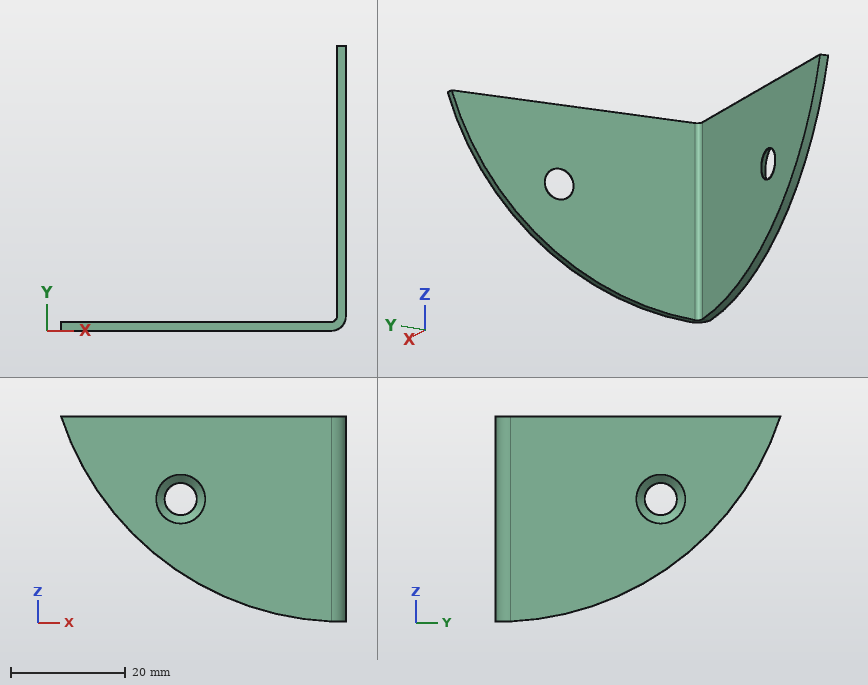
import cadquery as cq

leg_length = 50.0
height = 36.0
thickness = 1.6
inner_bend_radius = 1.0
outer_bend_radius = inner_bend_radius + thickness
edge_radius = 52.25

hole_from_corner = 29.0
hole_below_top = 14.5
hole_diameter = 5.6
countersink_diameter = 8.6
countersink_angle = 90.0


def make_leg():
    """Flat leg along -X with its outer face on Y = 0 and a countersunk hole."""
    leg = (
        cq.Workplane("XZ")
        .moveTo(-leg_length, 0)
        .lineTo(-outer_bend_radius, 0)
        .lineTo(-outer_bend_radius, -height)
        .radiusArc((-leg_length, 0), edge_radius)
        .close()
        .extrude(-thickness)
    )
    return (
        leg.faces("<Y")
        .workplane(origin=(-hole_from_corner, 0, -hole_below_top))
        .cskHole(hole_diameter, countersink_diameter, countersink_angle)
    )


def make_bend():
    """Full-height quarter tube that joins the two legs."""
    tube = (
        cq.Workplane("XY")
        .center(-outer_bend_radius, outer_bend_radius)
        .circle(outer_bend_radius)
        .circle(inner_bend_radius)
        .extrude(-height)
    )
    corner = cq.Workplane("XY").box(
        outer_bend_radius, outer_bend_radius, height, centered=False
    ).translate((-outer_bend_radius, 0, -height))
    return tube.intersect(corner)


front_leg = make_leg()

side_leg = front_leg.mirror("YZ").rotate((0, 0, 0), (0, 0, 1), 90)

result = front_leg.union(make_bend()).union(side_leg)